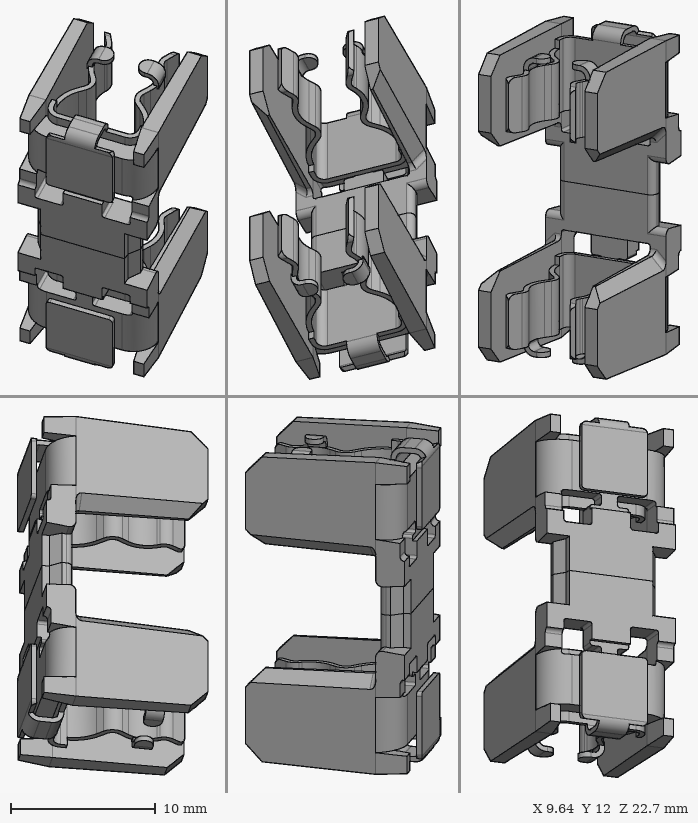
import cadquery as cq
import math


HALF_WIDTH = 4.82
FRONT_Y = -2.07
FLOOR_FRONT_Y = -1.75
CHANNEL_FLOOR_Y = -0.5
CHANNEL_HALF = 3.55
CHANNEL_CORNER = 1.0

WAIST_HALF = 3.82
WAIST_FRONT_HALF = 3.12
WAIST_GROOVE_HALF = 3.2
WAIST_SIDE_Y = -0.79
WAIST_GROOVE_Y = -1.56
BACK_ROUND = 0.48

EAR_BOTTOM_Z = 2.33
EAR_BOTTOM_RISE = 0.17
EAR_STEP_Z = 4.3
EAR_STEP_ROUND = FLOOR_FRONT_Y - FRONT_Y
EAR_TOP_Z = 5.73
EAR_TOP_DROP = 0.15

FLOOR_TOP_Z = 9.72
FLOOR_TOP_DROP = 0.13
FLOOR_ROUND = 2.0
FLOOR_FLAT_HALF = 2.8

WINDOW_BOTTOM_Z = 3.52
WINDOW_TOP_Z = 5.96
WINDOW_ROUND = 0.2
TONGUE_HALF = 1.45
TONGUE_STEP_Z = 4.76
TONGUE_TOP_Z = 5.12
NECK_HALF = 0.6

WALL_END_Y = 9.32
WALL_TOP_Z = 11.29
WALL_BOTTOM_Z = 4.25
WALL_END_TAPER = 0.28
WALL_CHAMFER = 1.2
WALL_TIP_OUTER = 4.75
WALL_TIP_INNER = 3.75
WALL_BEVEL_RISE = 0.9
WALL_BEVEL_START = 3.9
WALL_FOOT_ROUND = 0.42

POST_TIP_Y = -2.2
POST_BOTTOM_Z = FLOOR_TOP_Z
POST_TIP_INNER = 3.86
POST_TIP_OUTER = 4.62
POST_TIP_BOTTOM_Z = 9.86
POST_TIP_TOP_Z = 11.13

SHEET = 0.38
CLIP_BOTTOM_Z = 5.17
CLIP_TOP_Z = 10.42
ARM_BOTTOM_Z = 5.8
ARM_TOP_Z = 9.79
ARM_FOOT_Y = 0.96
ARM_TIP_ROUND = 0.5
ARM_FOOT_X = 3.32
BASE_MID_Y = CHANNEL_FLOOR_Y + SHEET / 2
ARM_TIP = (2.63, 9.02)
ARM_CORNERS = [
    (1.89, 7.7, 0.75),
    (2.81, 6.02, 2.2),
    (1.47, 3.88, 0.83),
    (ARM_FOOT_X, 2.17, 2.8),
    (ARM_FOOT_X, BASE_MID_Y, 0.8),
]

BEND_OUTER = 0.85
BEND_INNER = BEND_OUTER - SHEET
BEND_Z = 10.5
STRAP_HALF = 1.13
STRAP_FOOT_Z = 10.0
PLATE_FRONT_Y = -2.68
PLATE_HALF = 2.47
PLATE_BOTTOM_Z = 5.87
PLATE_TOP_Z = 10.8
PLATE_BOTTOM_ROUND = 0.28
PLATE_TOP_ROUND = 0.4

STOP_Y = 6.06
STOP_WIDTH = 1.3
STOP_TIP_X = 0.97
STOP_OUTER_X = 2.66
STOP_BEND_Z = 9.9


def slab(outline, x_half):
    """Extrude a (y, z) outline symmetrically along X."""
    return cq.Workplane("YZ").polyline(outline).close().extrude(x_half, both=True)


def box(x0, x1, y0, y1, z0, z1):
    return cq.Workplane("XY").box(x1 - x0, y1 - y0, z1 - z0, centered=False).translate((x0, y0, z0))


def both_sides(solid):
    return solid.union(solid.mirror("YZ"))


def waist():
    """Narrow middle that meets the other holder at Z = 0, grooved along both sides."""
    half = (
        cq.Workplane("XY")
        .lineTo(WAIST_HALF - BACK_ROUND, 0)
        .radiusArc((WAIST_HALF, -BACK_ROUND), BACK_ROUND)
        .lineTo(WAIST_HALF, WAIST_SIDE_Y)
        .lineTo(WAIST_GROOVE_HALF, WAIST_GROOVE_Y)
        .lineTo(WAIST_FRONT_HALF, FRONT_Y)
        .lineTo(0, FRONT_Y)
        .close()
        .extrude(WINDOW_BOTTOM_Z)
    )
    return both_sides(half)


def ears():
    """Full-width block between the waist and the clip floor, stepped back at the front."""
    return (
        cq.Workplane("YZ")
        .moveTo(0, EAR_TOP_Z)
        .lineTo(0, EAR_BOTTOM_Z + BACK_ROUND)
        .radiusArc((-BACK_ROUND, EAR_BOTTOM_Z), BACK_ROUND)
        .lineTo(FRONT_Y, EAR_BOTTOM_Z + EAR_BOTTOM_RISE)
        .lineTo(FRONT_Y, EAR_STEP_Z)
        .radiusArc((FLOOR_FRONT_Y, EAR_STEP_Z + EAR_STEP_ROUND), -EAR_STEP_ROUND)
        .lineTo(FLOOR_FRONT_Y, EAR_TOP_Z - EAR_TOP_DROP)
        .close()
        .extrude(HALF_WIDTH, both=True)
    )


def floor():
    """Clip floor with large rounded front corners and a sloping top end."""
    round_centre_y = FLOOR_FRONT_Y + FLOOR_ROUND
    edge_x = FLOOR_FLAT_HALF + math.sqrt(FLOOR_ROUND**2 - round_centre_y**2)
    half = (
        cq.Workplane("XY")
        .lineTo(edge_x, 0)
        .radiusArc((FLOOR_FLAT_HALF, FLOOR_FRONT_Y), FLOOR_ROUND)
        .lineTo(0, FLOOR_FRONT_Y)
        .close()
        .extrude(FLOOR_TOP_Z)
    )
    side = [
        (0, EAR_STEP_Z),
        (0, FLOOR_TOP_Z),
        (FLOOR_FRONT_Y, FLOOR_TOP_Z - FLOOR_TOP_DROP),
        (FLOOR_FRONT_Y, EAR_STEP_Z),
    ]
    return both_sides(half).intersect(slab(side, HALF_WIDTH))


def wall():
    """Right side wall: tapered in both directions, with a bevelled lower end."""
    side = [
        (0, WALL_TOP_Z),
        (0, WALL_BOTTOM_Z),
        (WALL_END_Y, WALL_BOTTOM_Z + WALL_END_TAPER),
        (WALL_END_Y, WALL_TOP_Z - WALL_END_TAPER),
    ]
    section = [
        (CHANNEL_HALF, 0),
        (HALF_WIDTH, 0),
        (WALL_TIP_OUTER, WALL_END_Y),
        (WALL_TIP_INNER, WALL_END_Y),
    ]
    body = slab(side, HALF_WIDTH).edges(">Y and |X").chamfer(WALL_CHAMFER)
    body = body.intersect(cq.Workplane("XY").polyline(section).close().extrude(WALL_TOP_Z))
    bevel_profile = [
        (WALL_BEVEL_START, 0),
        (HALF_WIDTH, WALL_BEVEL_RISE),
        (HALF_WIDTH, -WALL_BEVEL_RISE),
        (WALL_BEVEL_START, -WALL_BEVEL_RISE),
    ]
    bevel = (
        cq.Workplane("XZ", origin=(0, 0, WALL_BOTTOM_Z))
        .polyline(bevel_profile)
        .close()
        .extrude(2 * WALL_END_Y, both=True)
    )
    tilt = math.degrees(math.atan2(WALL_END_TAPER, WALL_END_Y))
    return body.cut(bevel.rotate((0, 0, WALL_BOTTOM_Z), (1, 0, WALL_BOTTOM_Z), tilt))


def post():
    """Right post: a tapered peg in front of the upper end of the wall."""
    base_x, base_z = HALF_WIDTH - CHANNEL_HALF, WALL_TOP_Z - POST_BOTTOM_Z
    tip_x, tip_z = POST_TIP_OUTER - POST_TIP_INNER, POST_TIP_TOP_Z - POST_TIP_BOTTOM_Z
    base_centre = ((HALF_WIDTH + CHANNEL_HALF) / 2, (WALL_TOP_Z + POST_BOTTOM_Z) / 2)
    tip_centre = ((POST_TIP_OUTER + POST_TIP_INNER) / 2, (POST_TIP_TOP_Z + POST_TIP_BOTTOM_Z) / 2)
    return (
        cq.Workplane("XZ")
        .center(*base_centre)
        .rect(base_x, base_z)
        .workplane(offset=-POST_TIP_Y)
        .center(tip_centre[0] - base_centre[0], tip_centre[1] - base_centre[1])
        .rect(tip_x, tip_z)
        .loft(ruled=True)
    )


def channel():
    """Space for the clip base between the walls, with rounded corners."""
    return (
        box(-CHANNEL_HALF, CHANNEL_HALF, CHANNEL_FLOOR_Y, WALL_END_Y, WINDOW_BOTTOM_Z, WALL_TOP_Z)
        .edges("<Y and |Z")
        .fillet(CHANNEL_CORNER)
    )


def window():
    """Right opening through the floor, running around the head of the tongue."""
    opening = box(TONGUE_HALF, CHANNEL_HALF, FRONT_Y, 0, WINDOW_BOTTOM_Z, WINDOW_TOP_Z)
    beside_neck = box(NECK_HALF, CHANNEL_HALF, FRONT_Y, 0, TONGUE_TOP_Z, WINDOW_TOP_Z)
    return opening.union(beside_neck).edges("|Y").fillet(WINDOW_ROUND)


def housing():
    lip = box(-TONGUE_HALF, TONGUE_HALF, FRONT_Y, FLOOR_FRONT_Y, WINDOW_BOTTOM_Z, TONGUE_STEP_Z)
    body = waist().union(ears()).union(floor()).union(lip)
    body = body.union(both_sides(wall()))
    foot = cq.selectors.BoxSelector(
        (-HALF_WIDTH, -WALL_FOOT_ROUND, WALL_BOTTOM_Z),
        (HALF_WIDTH, WALL_FOOT_ROUND, WALL_BOTTOM_Z + WALL_BEVEL_RISE),
    )
    body = body.edges(foot).fillet(WALL_FOOT_ROUND)
    body = body.cut(channel()).union(both_sides(post()))
    return body.cut(both_sides(window()))


def sheet_outline(start, corners, end):
    """Closed outline of a bent sheet around a centre line with rounded corners."""
    points = [start] + [corner[:2] for corner in corners] + [end]
    sides = {1: [], -1: []}
    for i, (x, y, radius) in enumerate(corners, start=1):
        corner = cq.Vector(x, y)
        back = (cq.Vector(*points[i - 1]) - corner).normalized()
        ahead = (cq.Vector(*points[i + 1]) - corner).normalized()
        half_angle = back.getAngle(ahead) / 2
        reach = radius / math.tan(half_angle)
        inward = (back + ahead).normalized()
        centre = corner + inward * (radius / math.sin(half_angle))
        turn = 1 if back.cross(ahead).z < 0 else -1
        for side, arcs in sides.items():
            scale = (radius - side * turn * SHEET / 2) / radius
            stops = [corner + back * reach, centre - inward * radius, corner + ahead * reach]
            arcs.append([centre + (stop - centre) * scale for stop in stops])

    def end_points(point, neighbour):
        along = (cq.Vector(*neighbour) - cq.Vector(*point)).normalized()
        left = cq.Vector(-along.y, along.x) * (SHEET / 2)
        return cq.Vector(*point) + left, cq.Vector(*point) - left

    start_left, start_right = end_points(start, points[1])
    end_right, end_left = end_points(end, points[-2])
    outline = cq.Workplane("XY").moveTo(start_left.x, start_left.y)
    for first, middle, last in sides[1]:
        outline = outline.lineTo(first.x, first.y).threePointArc(middle.toTuple()[:2], last.toTuple()[:2])
    outline = outline.lineTo(end_left.x, end_left.y).lineTo(end_right.x, end_right.y)
    for first, middle, last in reversed(sides[-1]):
        outline = outline.lineTo(last.x, last.y).threePointArc(middle.toTuple()[:2], first.toTuple()[:2])
    return outline.lineTo(start_right.x, start_right.y).close()


def spring():
    """Base and both arms, bent from one strip, with the arm tips rounded."""
    mirrored = [(-x, y, radius) for x, y, radius in reversed(ARM_CORNERS)]
    strip = sheet_outline(ARM_TIP, ARM_CORNERS + mirrored, (-ARM_TIP[0], ARM_TIP[1]))
    height = CLIP_TOP_Z - CLIP_BOTTOM_Z
    body = strip.extrude(height).translate((0, 0, CLIP_BOTTOM_Z))
    tip_y = ARM_TIP[1] + SHEET / 4
    arms = box(-HALF_WIDTH, HALF_WIDTH, CHANNEL_FLOOR_Y, tip_y, ARM_BOTTOM_Z, ARM_TOP_Z)
    arms = arms.edges(">Y and |X").fillet(ARM_TIP_ROUND)
    base = box(-HALF_WIDTH, HALF_WIDTH, CHANNEL_FLOOR_Y, ARM_FOOT_Y, CLIP_BOTTOM_Z, CLIP_TOP_Z)
    return body.intersect(arms.union(base))


def strap():
    """Hook from the clip base over the end of the floor to the contact plate."""
    back_y = CHANNEL_FLOOR_Y + SHEET
    top_z = BEND_Z + BEND_OUTER

    def hook(inset, bend):
        block = box(
            -STRAP_HALF, STRAP_HALF, PLATE_FRONT_Y + inset, back_y - inset, STRAP_FOOT_Z, top_z - inset
        )
        return block.edges(">Z and |X").fillet(bend)

    return hook(0, BEND_OUTER).cut(hook(SHEET, BEND_INNER))


def plate():
    """Contact plate whose shoulders follow the start of the strap bend."""
    back_y = PLATE_FRONT_Y + SHEET
    bend_centre_y = PLATE_FRONT_Y + BEND_OUTER
    lean = math.asin((PLATE_TOP_Z - BEND_Z) / BEND_OUTER)

    def on_bend(radius, angle):
        return bend_centre_y - radius * math.cos(angle), BEND_Z + radius * math.sin(angle)

    body = (
        cq.Workplane("YZ")
        .moveTo(PLATE_FRONT_Y, PLATE_BOTTOM_Z)
        .lineTo(PLATE_FRONT_Y, BEND_Z)
        .threePointArc(on_bend(BEND_OUTER, lean / 2), on_bend(BEND_OUTER, lean))
        .lineTo(*on_bend(BEND_INNER, lean))
        .threePointArc(on_bend(BEND_INNER, lean / 2), (back_y, BEND_Z))
        .lineTo(back_y, PLATE_BOTTOM_Z)
        .close()
        .extrude(PLATE_HALF, both=True)
    )
    blank = (
        box(-PLATE_HALF, PLATE_HALF, PLATE_FRONT_Y, bend_centre_y, PLATE_BOTTOM_Z, PLATE_TOP_Z)
        .edges("<Z and |Y")
        .fillet(PLATE_BOTTOM_ROUND)
        .edges(">Z and |Y")
        .fillet(PLATE_TOP_ROUND)
    )
    return body.intersect(blank)


def end_stop():
    """Round-ended tongue bent inwards from the end of the right arm to hold the fuse."""
    top_z = STOP_BEND_Z + BEND_OUTER
    root_z = STOP_BEND_Z - SHEET
    bend_x = STOP_OUTER_X - BEND_OUTER
    half_width = STOP_WIDTH / 2
    bent_strip = (
        cq.Workplane("XZ")
        .moveTo(STOP_OUTER_X, root_z)
        .lineTo(STOP_OUTER_X, STOP_BEND_Z)
        .radiusArc((bend_x, top_z), -BEND_OUTER)
        .lineTo(STOP_TIP_X, top_z)
        .lineTo(STOP_TIP_X, top_z - SHEET)
        .lineTo(bend_x, top_z - SHEET)
        .radiusArc((bend_x + BEND_INNER, STOP_BEND_Z), BEND_INNER)
        .lineTo(bend_x + BEND_INNER, root_z)
        .close()
        .extrude(half_width, both=True)
    )
    round_end = (
        cq.Workplane("XY")
        .moveTo(STOP_OUTER_X, -half_width)
        .lineTo(STOP_OUTER_X, half_width)
        .lineTo(STOP_TIP_X + half_width, half_width)
        .threePointArc((STOP_TIP_X, 0), (STOP_TIP_X + half_width, -half_width))
        .close()
        .extrude(top_z)
    )
    return bent_strip.intersect(round_end).translate((0, STOP_Y, 0))


def clip():
    body = spring().union(both_sides(end_stop()))
    return body.union(strap()).union(plate())


upper_bodies = [housing().solids().val(), clip().solids().val()]
lower_bodies = [body.mirror("XY") for body in upper_bodies]
result = cq.Compound.makeCompound(upper_bodies + lower_bodies)